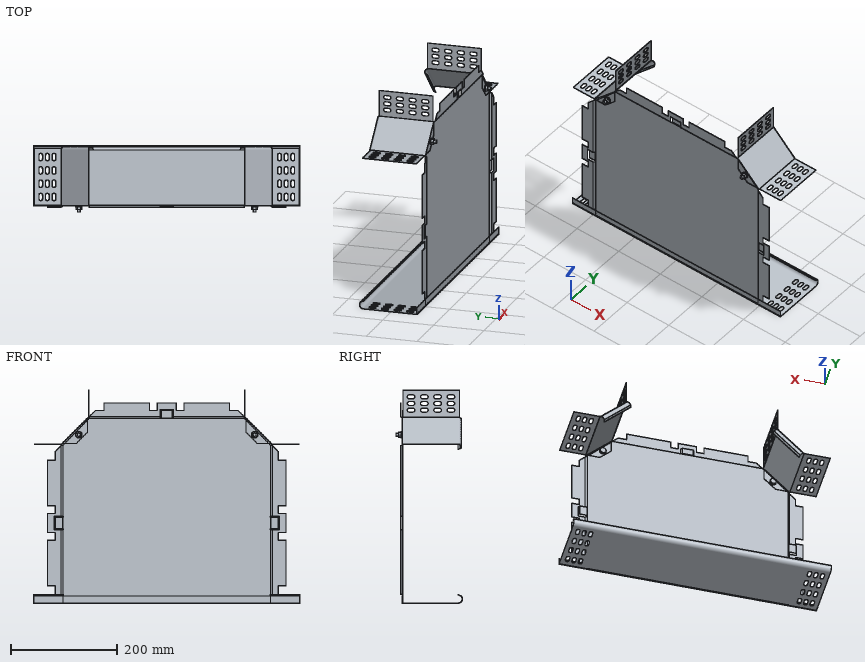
import cadquery as cq
import math

sheet = 1.0

panel_half_width = 195.0
panel_top = 347.5
flange_reach = 29.5
notch_reach = 15.0
joggle_width = 3.5
flange_offset = 3.5
flange_half_length = 118.0
flange_root_half_length = 134.0
joggle_half_length = 146.0
notch_inner = 18.0
notch_outer = 32.0
slot_half_length = 12.5
slot_reach = 16.7
tab_half_length = 10.7
tab_reach = 15.0
tab_step = 0.4
tab_ramp = 1.2
side_flange_center = 151.0

rail_length = 500.0
rail_lip_height = 14.0
rail_depth = 113.25
rail_hook_radius = 8.35

bracket_reach = 249.0
bracket_height = 400.67
bracket_leaf_length = 50.5
web_span = 51.0
bracket_leaf_front = sheet
bracket_leaf_back = 107.5
bracket_depth = 111.5
bracket_hook_radius = 7.0
bracket_bend_radius = sheet
ear_inset = 1.0
ear_side = 28.0

hole_length = 14.0
hole_width = 7.0
hole_rows = 3
hole_row_pitch = 12.5
hole_end_margin = 12.5
hole_columns = 4
hole_column_pitch = 25.0
hole_first_depth = 16.4

bolt_diameter = 6.0
bolt_end_depth = 12.0
bolt_head_diameter = 12.0
bolt_head_height = 3.0
nut_across_flats = 10.0
nut_height = 6.0
nut_flange_diameter = 12.5
nut_flange_height = 1.5
bolt_inset = 11.0

leaf_top = bracket_height - bracket_leaf_length - web_span
web_top = leaf_top + web_span
web_left = -bracket_reach + bracket_leaf_length
web_right = web_left + web_span
bolt_x = web_left + web_span / 2 + bolt_inset / math.sqrt(2)
bolt_z = leaf_top + web_span / 2 - bolt_inset / math.sqrt(2)


def block(x, y, z):
    """Box given by its (low, high) limits along each axis."""
    size = (x[1] - x[0], y[1] - y[0], z[1] - z[0])
    return cq.Workplane("XY").box(*size, centered=False).translate((x[0], y[0], z[0]))


def plate_in_xz(points, front, back):
    """Flat plate with an outline in X and Z, from depth front to depth back."""
    outline = cq.Workplane("XZ", origin=(0, front, 0)).polyline(points).close()
    return outline.extrude(front - back)


def mirrored(body):
    """Copy of a body on the other side of the X = 0 plane."""
    return body.mirror("YZ")


def edge_flange(low_end_chamfered):
    """Flange along a panel edge on Z = 0, centred on X = 0 and reaching toward +Z."""
    low_end = joggle_half_length if low_end_chamfered else flange_root_half_length
    high_end = joggle_half_length
    flange = plate_in_xz(
        [
            (-low_end, joggle_width),
            (-flange_root_half_length, notch_reach),
            (-flange_half_length, notch_reach),
            (-flange_half_length, flange_reach),
            (flange_half_length, flange_reach),
            (flange_half_length, notch_reach),
            (flange_root_half_length, notch_reach),
            (high_end, joggle_width),
        ],
        -flange_offset,
        sheet - flange_offset,
    )
    joggle = (
        cq.Workplane("YZ", origin=(-low_end, 0, 0))
        .polyline(
            [
                (0, 0),
                (sheet, 0),
                (sheet - flange_offset, joggle_width),
                (-flange_offset, joggle_width),
            ]
        )
        .close()
        .extrude(high_end + low_end)
    )
    flange = flange.union(joggle)
    cut_depth = (-2 * flange_offset, 2 * sheet)
    for side in (-1, 1):
        ends = sorted((side * notch_inner, side * notch_outer))
        flange = flange.cut(block(ends, cut_depth, (notch_reach, flange_reach)))
    flange = flange.cut(block((-slot_half_length, slot_half_length), cut_depth, (0, slot_reach)))
    tab = (
        cq.Workplane("YZ", origin=(-tab_half_length, 0, 0))
        .polyline(
            [
                (0, 0),
                (tab_step, tab_ramp),
                (tab_step, tab_reach),
                (tab_step + sheet, tab_reach),
                (tab_step + sheet, tab_ramp),
                (sheet, 0),
            ]
        )
        .close()
        .extrude(2 * tab_half_length)
    )
    return flange.union(tab)


def make_panel():
    sheet_outline = [
        (-panel_half_width, sheet),
        (panel_half_width, sheet),
        (panel_half_width, side_flange_center + joggle_half_length),
        (joggle_half_length, panel_top),
        (-joggle_half_length, panel_top),
        (-panel_half_width, side_flange_center + joggle_half_length),
    ]
    panel = plate_in_xz(sheet_outline, 0, sheet)
    left_flange = (
        edge_flange(low_end_chamfered=False)
        .rotate((0, 0, 0), (0, 1, 0), -90)
        .translate((-panel_half_width, 0, side_flange_center))
    )
    top_flange = edge_flange(low_end_chamfered=True).translate((0, 0, panel_top))
    panel = panel.union(left_flange).union(mirrored(left_flange)).union(top_flange)
    return panel.cut(bolt_holes())


def bolt_holes():
    hole = (
        cq.Workplane("XZ", origin=(0, -2 * sheet, 0))
        .center(bolt_x, bolt_z)
        .circle(bolt_diameter / 2)
        .extrude(-4 * sheet)
    )
    return hole.union(mirrored(hole))


def hooked_section(plane, depth, radius):
    """Sheet lying on the local Y = 0 line, ending in a hook that curls toward local +Y.

    Local X is the depth. The hook is an arc finished by a short straight tip.
    """
    tangent = depth - radius
    inner = radius - sheet
    diagonal = math.sqrt(0.5)
    outer_bend = (tangent + radius * diagonal, radius + radius * diagonal)
    inner_bend = (tangent + inner * diagonal, radius + inner * diagonal)
    return (
        plane.moveTo(-sheet, 0)
        .lineTo(tangent, 0)
        .threePointArc((depth, radius), outer_bend)
        .lineTo(tangent, 2 * radius)
        .lineTo(tangent, 2 * radius - sheet)
        .lineTo(*inner_bend)
        .threePointArc((tangent + inner, radius), (tangent, sheet))
        .lineTo(-sheet, sheet)
        .close()
    )


def slotted_holes():
    """Cutters for the hole pattern, with the sheet end on X = 0 and the holes on its +X side."""
    centers = [
        (hole_end_margin + row * hole_row_pitch, hole_first_depth + column * hole_column_pitch)
        for row in range(hole_rows)
        for column in range(hole_columns)
    ]
    return (
        cq.Workplane("XY", origin=(0, 0, -2 * sheet))
        .pushPoints(centers)
        .slot2D(hole_length, hole_width, 90)
        .extrude(4 * sheet)
    )


def make_rail():
    plane = cq.Workplane("YZ", origin=(-rail_length / 2, 0, 0))
    rail = hooked_section(plane, rail_depth, rail_hook_radius).extrude(rail_length)
    half = rail_length / 2
    rail = rail.union(block((-half, half), (-sheet, 0), (0, rail_lip_height)))
    end_holes = slotted_holes().translate((-half, 0, 0))
    return rail.cut(end_holes).cut(mirrored(end_holes))


def make_left_bracket():
    miter = sheet * math.tan(math.radians(22.5))
    leaf_depths = (bracket_leaf_front, bracket_leaf_back)
    flat_leaf = block((-bracket_reach, web_left + miter), leaf_depths, (leaf_top - sheet, leaf_top))
    upright_leaf = block(
        (web_right, web_right + sheet), leaf_depths, (web_top - miter, bracket_height)
    )
    flat_holes = slotted_holes().translate((-bracket_reach, 0, leaf_top))
    upright_holes = (
        slotted_holes().rotate((0, 0, 0), (0, 1, 0), 90).translate((web_right, 0, bracket_height))
    )
    leaves = flat_leaf.cut(flat_holes).union(upright_leaf.cut(upright_holes))

    section_plane = cq.Plane(origin=(web_left, 0, leaf_top), xDir=(0, 1, 0), normal=(-1, 0, -1))
    web = hooked_section(cq.Workplane(section_plane), bracket_depth, bracket_hook_radius)
    web = web.extrude(-web_span * math.sqrt(2))

    ear = plate_in_xz(
        [
            (web_left, leaf_top),
            (web_right, web_top),
            (web_right - ear_inset, web_top - ear_inset),
            (web_right - ear_inset, web_top - ear_side),
            (web_left + ear_side, leaf_top + ear_inset),
            (web_left + ear_inset, leaf_top + ear_inset),
        ],
        -sheet,
        0,
    )
    bent = web.union(ear)
    bend_point = (web_left + web_span / 2, -sheet, leaf_top + web_span / 2)
    bent = bent.edges(cq.NearestToPointSelector(bend_point)).fillet(bracket_bend_radius)
    return bent.union(leaves).cut(bolt_holes())


def make_left_bolt():
    start = cq.Workplane("XZ", origin=(bolt_x, -bolt_end_depth, bolt_z))
    shank = start.circle(bolt_diameter / 2).extrude(-(bolt_end_depth + sheet))
    head = (
        cq.Workplane("XZ", origin=(bolt_x, sheet, bolt_z))
        .circle(bolt_head_diameter / 2)
        .extrude(-bolt_head_height)
    )
    return shank.union(head)


def make_left_nut():
    seat = cq.Workplane("XZ", origin=(bolt_x, -sheet, bolt_z))
    flange = seat.circle(nut_flange_diameter / 2).extrude(nut_flange_height)
    hexagon = seat.polygon(6, nut_across_flats / math.cos(math.radians(30))).extrude(nut_height)
    bore = seat.circle(bolt_diameter / 2).extrude(nut_height)
    return flange.union(hexagon).cut(bore)


panel = make_panel()
rail = make_rail()
left_parts = [make_left_bracket(), make_left_bolt(), make_left_nut()]
right_parts = [mirrored(part) for part in left_parts]

result = cq.Compound.makeCompound([part.val() for part in [panel, rail, *left_parts, *right_parts]])